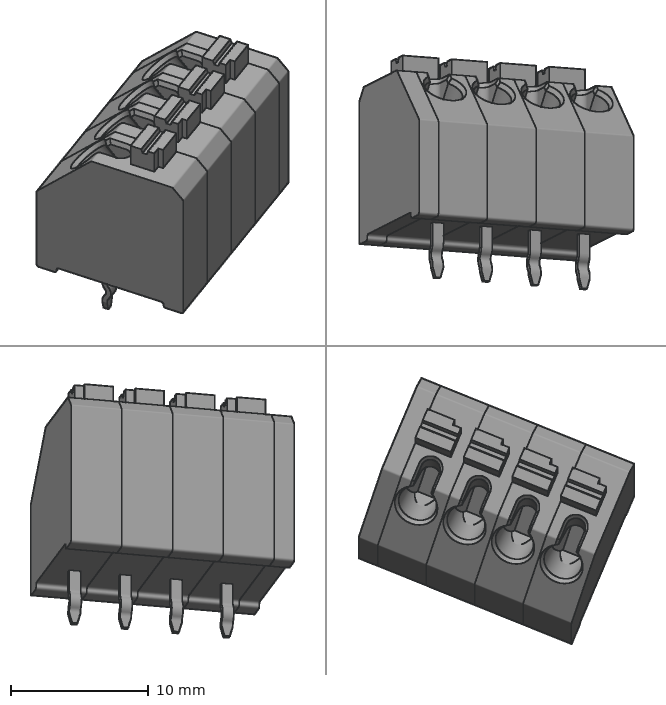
import cadquery as cq
import math


MODULE_COUNT = 4
ROW_LENGTH = 16.73
END_PLATE_THICKNESS = 1.51
PITCH = (ROW_LENGTH - END_PLATE_THICKNESS) / MODULE_COUNT

DEPTH = 12.0
HEIGHT = 11.5
FRONT_CHAMFER = 4.47
BACK_CHAMFER = 0.9
FOOT_LENGTH = 1.63
FOOT_HEIGHT = 0.45
EDGE_RADIUS = 0.2

LANE_Y = 2.08
HOLE_X = 3.15
HOLE_Z = HEIGHT - FRONT_CHAMFER + HOLE_X
HOLE_RADIUS = 1.43
HOLE_DEPTH = 3.6
ENTRY_CHAMFER = 0.18
ENTRY_CHAMFER_DEPTH = 0.39
SHELF_FOOT_X = 4.85
SHELF_ANGLE = 33.0
RAMP_FOOT_Y = 0.59
RAMP_TOP_DEPTH = 2.42

SLOT_RADIUS = 0.7
SLOT_START_X = HOLE_X + SLOT_RADIUS
SLOT_END_X = 5.85
SLOT_DEPTH = 2.85

BUTTON_X = 7.15
BUTTON_LENGTH = 2.32
BUTTON_WIDTH = 2.79
BUTTON_HEIGHT = 1.71
NOTCH_LENGTH = 0.39
NOTCH_WIDTH = 0.65
GROOVE_X = 8.3
GROOVE_TOP_WIDTH = 0.54
GROOVE_BOTTOM_WIDTH = 0.32
GROOVE_DEPTH = 0.32

PIN_X = 4.7
PIN_THICKNESS = 0.4
PIN_WIDTH = 0.84
PIN_TIP_WIDTH = 0.4
PIN_BOTTOM_Z = -3.58
TAPER_TOP_Z = -2.82
BEND_TOP_Z = -1.02
BEND_RADIUS = 0.65
BEND_OFFSET = 0.32


def prism(points, y_start, length):
    """Extrude a closed XZ polygon toward +Y."""
    plane = cq.Workplane("XZ", origin=(0, y_start, 0))
    return plane.polyline(points).close().extrude(-length)


def housing_block(y_start, length):
    """Plain housing section with chamfered top, two feet and rounded edges."""
    outline = [
        (0, 0),
        (FOOT_LENGTH, 0),
        (FOOT_LENGTH, FOOT_HEIGHT),
        (DEPTH - FOOT_LENGTH, FOOT_HEIGHT),
        (DEPTH - FOOT_LENGTH, 0),
        (DEPTH, 0),
        (DEPTH, HEIGHT - BACK_CHAMFER),
        (DEPTH - BACK_CHAMFER, HEIGHT),
        (FRONT_CHAMFER, HEIGHT),
        (0, HEIGHT - FRONT_CHAMFER),
    ]
    return prism(outline, y_start, length).edges("|Y").fillet(EDGE_RADIUS)


def hole_cavity(lane_y):
    """Blind hole with a conical mouth, narrowed above its flat bottom by a shelf and a ramp."""
    mouth = cq.Vector(HOLE_X, lane_y, HOLE_Z)
    axis = cq.Vector(1, 0, -1)
    bore = cq.Solid.makeCylinder(HOLE_RADIUS, HOLE_DEPTH, mouth, axis)
    mouth_radius = HOLE_RADIUS + ENTRY_CHAMFER
    cone = cq.Solid.makeCone(mouth_radius, HOLE_RADIUS, ENTRY_CHAMFER_DEPTH, mouth, axis)
    hole = cq.Workplane(bore).union(cq.Workplane(cone))
    return hole.cut(hole_shelf(lane_y)).cut(hole_ramp(lane_y))


def hole_shelf(lane_y):
    """Material left standing under the sloping shelf at the front of the hole bottom."""
    shelf_foot_z = SHELF_FOOT_X + HEIGHT - FRONT_CHAMFER - HOLE_DEPTH * math.sqrt(2)
    shelf_rise = SHELF_FOOT_X * math.tan(math.radians(SHELF_ANGLE))
    shelf_outline = [
        (0, 0),
        (SHELF_FOOT_X, 0),
        (SHELF_FOOT_X, shelf_foot_z),
        (0, shelf_foot_z + shelf_rise),
    ]
    return prism(shelf_outline, lane_y - HOLE_RADIUS, 2 * HOLE_RADIUS)


def slope_plane(lane_y):
    """Frame at the hole mouth: local x along Y, local y out of the slope, normal up the slope."""
    return cq.Plane(origin=(HOLE_X, lane_y, HOLE_Z), xDir=(0, 1, 0), normal=(1, 0, 1))


def hole_ramp(lane_y):
    """Material left standing under the ramp on the far Y side of the hole bottom."""
    section = [
        (RAMP_FOOT_Y, -HOLE_DEPTH),
        (HOLE_RADIUS, -HOLE_DEPTH),
        (HOLE_RADIUS, -RAMP_TOP_DEPTH),
    ]
    return cq.Workplane(slope_plane(lane_y)).polyline(section).close().extrude(HOLE_RADIUS, both=True)


def slot_cavity(lane_y):
    """Round-ended vertical slot with a chamfered top edge."""
    slot_length = SLOT_END_X - SLOT_START_X + 2 * SLOT_RADIUS
    slot_middle_x = (SLOT_START_X + SLOT_END_X) / 2
    return (
        cq.Workplane("XY", origin=(slot_middle_x, lane_y, HEIGHT - SLOT_DEPTH))
        .slot2D(slot_length, 2 * SLOT_RADIUS)
        .extrude(SLOT_DEPTH)
        .union(top_slot_chamfer(slot_middle_x, lane_y, slot_length))
        .union(slope_slot_chamfer(lane_y))
    )


def top_slot_chamfer(slot_middle_x, lane_y, slot_length):
    """Tapered mouth of the slot, widest at the top face."""
    taper = math.degrees(math.atan2(ENTRY_CHAMFER, ENTRY_CHAMFER_DEPTH))
    return (
        cq.Workplane("XY", origin=(slot_middle_x, lane_y, HEIGHT - ENTRY_CHAMFER_DEPTH))
        .slot2D(slot_length, 2 * SLOT_RADIUS)
        .extrude(ENTRY_CHAMFER_DEPTH, taper=-taper)
    )


def slope_slot_chamfer(lane_y):
    """The same widening where the slot breaks through the sloped front face."""
    mouth_half_width = SLOT_RADIUS + ENTRY_CHAMFER
    section = [
        (-mouth_half_width, 0),
        (mouth_half_width, 0),
        (SLOT_RADIUS, -ENTRY_CHAMFER_DEPTH),
        (-SLOT_RADIUS, -ENTRY_CHAMFER_DEPTH),
    ]
    length_up_slope = (FRONT_CHAMFER - HOLE_X) * math.sqrt(2) + ENTRY_CHAMFER_DEPTH
    return cq.Workplane(slope_plane(lane_y)).polyline(section).close().extrude(length_up_slope)


def release_button(module_y):
    """Button flush with the far side of its module, with a notch and a screwdriver groove."""
    near_y = module_y + PITCH - BUTTON_WIDTH
    back_x = BUTTON_X + BUTTON_LENGTH
    top_z = HEIGHT + BUTTON_HEIGHT
    plan = [
        (BUTTON_X, near_y),
        (back_x - NOTCH_LENGTH, near_y),
        (back_x - NOTCH_LENGTH, near_y + NOTCH_WIDTH),
        (back_x, near_y + NOTCH_WIDTH),
        (back_x, module_y + PITCH),
        (BUTTON_X, module_y + PITCH),
    ]
    block = cq.Workplane("XY", origin=(0, 0, HEIGHT)).polyline(plan).close().extrude(BUTTON_HEIGHT)
    groove = prism(
        [
            (GROOVE_X - GROOVE_TOP_WIDTH / 2, top_z),
            (GROOVE_X - GROOVE_BOTTOM_WIDTH / 2, top_z - GROOVE_DEPTH),
            (GROOVE_X + GROOVE_BOTTOM_WIDTH / 2, top_z - GROOVE_DEPTH),
            (GROOVE_X + GROOVE_TOP_WIDTH / 2, top_z),
        ],
        near_y,
        BUTTON_WIDTH,
    )
    return block.cut(groove)


def pin_kink_points(side):
    """Points down one face of the kink, offset sideways from the middle of the strip."""
    bend_angle = math.acos(1 - BEND_OFFSET / (2 * BEND_RADIUS))
    kink_middle_z = BEND_TOP_Z - 2 * BEND_RADIUS * math.sin(bend_angle)

    def on_first_bend(angle):
        reach = BEND_RADIUS - (BEND_RADIUS - side) * math.cos(angle)
        return PIN_X + reach, BEND_TOP_Z - (BEND_RADIUS - side) * math.sin(angle)

    upper = [on_first_bend(share * bend_angle) for share in (0, 0.5, 1)]
    crest = (PIN_X + BEND_OFFSET + side, kink_middle_z)
    lower = [(x, 2 * kink_middle_z - z) for x, z in reversed(upper)]
    return [*upper, crest, *lower]


def solder_pin(lane_y):
    """Flat strip with a rounded sideways kink and a tapered tip."""
    half = PIN_THICKNESS / 2
    left = pin_kink_points(-half)
    right = pin_kink_points(half)[::-1]
    strip = (
        cq.Workplane("XZ", origin=(0, lane_y, 0))
        .moveTo(PIN_X - half, FOOT_HEIGHT)
        .lineTo(*left[0])
        .threePointArc(left[1], left[2])
        .threePointArc(left[3], left[4])
        .threePointArc(left[5], left[6])
        .lineTo(PIN_X - half, PIN_BOTTOM_Z)
        .lineTo(PIN_X + half, PIN_BOTTOM_Z)
        .lineTo(*right[0])
        .threePointArc(right[1], right[2])
        .threePointArc(right[3], right[4])
        .threePointArc(right[5], right[6])
        .lineTo(PIN_X + half, FOOT_HEIGHT)
        .close()
        .extrude(PIN_WIDTH / 2, both=True)
    )
    blank = (
        cq.Workplane("YZ", origin=(0, lane_y, 0))
        .polyline(
            [
                (-PIN_WIDTH / 2, FOOT_HEIGHT),
                (-PIN_WIDTH / 2, TAPER_TOP_Z),
                (-PIN_TIP_WIDTH / 2, PIN_BOTTOM_Z),
                (PIN_TIP_WIDTH / 2, PIN_BOTTOM_Z),
                (PIN_WIDTH / 2, TAPER_TOP_Z),
                (PIN_WIDTH / 2, FOOT_HEIGHT),
            ]
        )
        .close()
        .extrude(DEPTH)
    )
    return strip.intersect(blank)


def terminal_module(module_y):
    """One wire module: housing section with its wire entry, button and pin."""
    lane_y = module_y + LANE_Y
    return (
        housing_block(module_y, PITCH)
        .cut(hole_cavity(lane_y))
        .cut(slot_cavity(lane_y))
        .union(release_button(module_y))
        .union(solder_pin(lane_y))
    )


modules = cq.Workplane()
for index in range(MODULE_COUNT):
    modules.add(terminal_module(index * PITCH).solids())
end_plate = housing_block(MODULE_COUNT * PITCH, END_PLATE_THICKNESS)

result = cq.Compound.makeCompound([*modules.vals(), end_plate.val()])